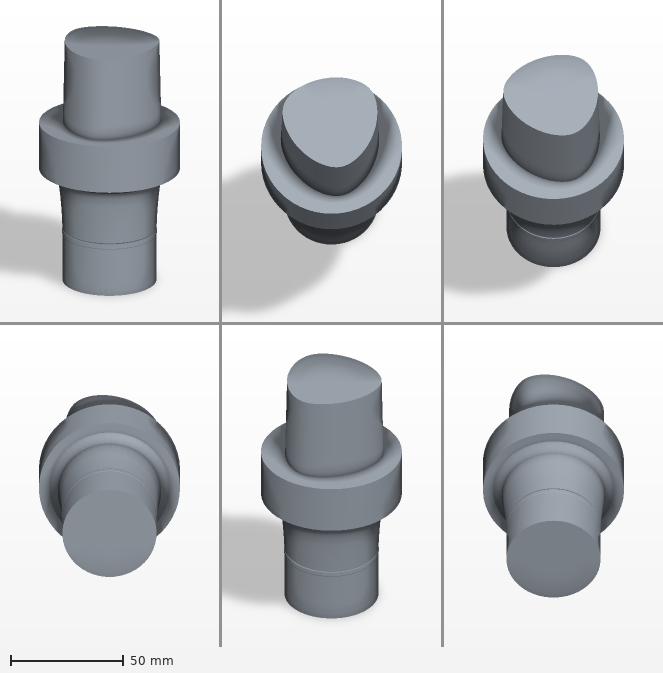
import cadquery as cq
import math

TOTAL_HEIGHT = 113.0
SHANK_TOP = 22.0
BAND_BOTTOM = 22.4
BAND_TOP = 24.3
NECK_BOTTOM = 25.0
NECK_TOP = 49.3
FLANGE_BOTTOM = 53.0
FLANGE_TOP = 74.9

SHANK_DIAMETER = 42.0
BAND_DIAMETER = 42.3
DEEP_GROOVE_DIAMETER = 32.4
NECK_TOP_DIAMETER = 46.2
CONE_TOP_DIAMETER = 53.8
FLANGE_DIAMETER = 62.9

NECK_HOLLOW = 0.3

POLYGON_BASE_WIDTH = 44.0
POLYGON_TOP_WIDTH = 42.3
LOBE_HEIGHT = 1.4
CURVE_POINTS = 72


def round_body():
    """Turned lower body, from the shank up to the top of the flange."""
    shank = SHANK_DIAMETER / 2
    band = BAND_DIAMETER / 2
    deep_groove = DEEP_GROOVE_DIAMETER / 2
    neck_top = NECK_TOP_DIAMETER / 2
    flange = FLANGE_DIAMETER / 2
    neck_middle = ((shank + neck_top) / 2 - NECK_HOLLOW, (NECK_BOTTOM + NECK_TOP) / 2)
    profile = (
        cq.Workplane("XZ")
        .lineTo(shank, 0)
        .lineTo(shank, SHANK_TOP)
        .lineTo(band, BAND_BOTTOM)
        .lineTo(band, BAND_TOP)
        .lineTo(deep_groove, BAND_TOP)
        .lineTo(deep_groove, NECK_BOTTOM)
        .lineTo(shank, NECK_BOTTOM)
        .threePointArc(neck_middle, (neck_top, NECK_TOP))
        .lineTo(CONE_TOP_DIAMETER / 2, FLANGE_BOTTOM)
        .lineTo(flange, FLANGE_BOTTOM)
        .lineTo(flange, FLANGE_TOP)
        .lineTo(0, FLANGE_TOP)
        .close()
    )
    return profile.revolve(360, (0, 0, 0), (0, 1, 0))


def lobed_point(width, step):
    """Point on a constant-width curve with one of its three lobes toward -Y.

    The tangent line facing the angle lies at distance
    width / 2 + LOBE_HEIGHT * cos(phase) from the axis.
    """
    phase = 3 * 2 * math.pi * step / CURVE_POINTS
    angle = phase / 3 - math.pi / 2
    distance = width / 2 + LOBE_HEIGHT * math.cos(phase)
    slope = -3 * LOBE_HEIGHT * math.sin(phase)
    return (
        distance * math.cos(angle) - slope * math.sin(angle),
        distance * math.sin(angle) + slope * math.cos(angle),
    )


def lobed_outline(width):
    """Points once around the three-lobed curve."""
    return [lobed_point(width, step) for step in range(CURVE_POINTS)]


def polygon_shank():
    """Three-lobed shank that narrows toward its flat top."""
    return (
        cq.Workplane("XY", origin=(0, 0, FLANGE_TOP))
        .spline(lobed_outline(POLYGON_BASE_WIDTH), periodic=True, makeWire=True)
        .workplane(offset=TOTAL_HEIGHT - FLANGE_TOP)
        .spline(lobed_outline(POLYGON_TOP_WIDTH), periodic=True, makeWire=True)
        .loft(ruled=True)
    )


result = round_body().union(polygon_shank())